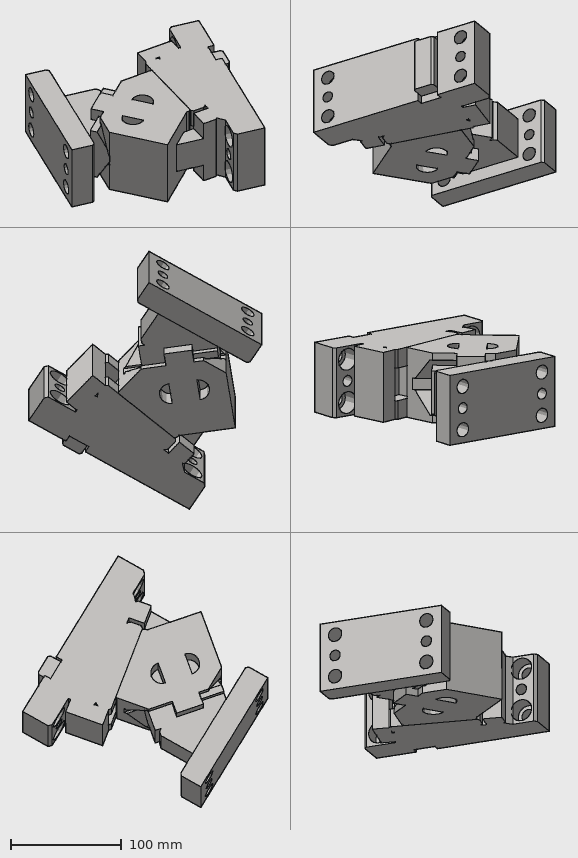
import cadquery as cq
import math


RAMP_ANGLE = 40.0
GUIDE_ANGLE = 10.0


def at_x(distance):
    return (0.0, distance)


def at_y(distance):
    return (90.0, distance)


def ramp_along(distance):
    """Edge across the ramp, at a distance measured down the ramp."""
    return (-RAMP_ANGLE, distance)


def ramp_height(distance):
    """Edge parallel to the ramp, at a distance measured square to it."""
    return (90.0 - RAMP_ANGLE, distance)


def guide_along(distance):
    """Edge across the guide, at a distance measured up the guide."""
    return (GUIDE_ANGLE, distance)


def guide_height(distance):
    """Edge parallel to the guide, at a distance measured square to it."""
    return (GUIDE_ANGLE + 90.0, distance)


def meet(edge_a, edge_b):
    """XY point where two straight edges cross."""
    angle_a, dist_a = math.radians(edge_a[0]), edge_a[1]
    angle_b, dist_b = math.radians(edge_b[0]), edge_b[1]
    turn = math.sin(angle_b - angle_a)
    x = (dist_a * math.sin(angle_b) - dist_b * math.sin(angle_a)) / turn
    y = (dist_b * math.cos(angle_a) - dist_a * math.cos(angle_b)) / turn
    return (x, y)


def slab(points, half_width):
    """XY outline extruded equally to both sides of Z = 0."""
    return cq.Workplane("XY").polyline(points).close().extrude(half_width, both=True)


def ramp_prism(half_profile, start, end):
    """Symmetric (z, ramp height) profile swept down the ramp from start to end."""
    down_ramp = meet(ramp_along(1.0), ramp_height(0.0))
    plane = cq.Plane(
        origin=meet(ramp_along(start), ramp_height(0.0)),
        xDir=(0, 0, -1),
        normal=(*down_ramp, 0),
    )
    mirrored = [(-z, height) for z, height in reversed(half_profile)]
    return cq.Workplane(plane).polyline(half_profile + mirrored).close().extrude(end - start)


def holes_along_y(diameter, xs, zs, y_start, depth):
    """Round cutters that run towards +Y from y_start."""
    plane = cq.Plane(origin=(0, y_start, 0), xDir=(1, 0, 0), normal=(0, 1, 0))
    points = [(x, z) for x in xs for z in zs]
    return cq.Workplane(plane).pushPoints(points).circle(diameter / 2).extrude(depth)


HALF_WIDTH = 65.0 / 2
BOLT_DIAMETER = 13.0
DOWEL_DIAMETER = 10.0
BOLT_Z = 20.0
BOLT_ROWS = (-BOLT_Z, BOLT_Z)

ROOF_ANGLE = 30.0
HEAD_HALF = 25.7
HEAD_SHOULDER = 99.5
HEAD_BOTTOM = 92.9


def roof(z):
    """Ramp height of the sloped roof at a distance z from the middle."""
    return HEAD_SHOULDER + (HEAD_HALF - z) * math.tan(math.radians(ROOF_ANGLE))


GUIDE_FACE = 98.0
CHANNEL_HALF = 15.1
CHANNEL_CEILING = 113.0
CHANNEL_START = 59.0

SLIDER_TOP = 168.6

HOOK_START = 18.2
HOOK_END = 43.8

DRIVER_LEFT = 20.3
DRIVER_LENGTH = 119.4
DRIVER_PLATE = 22.3
DRIVER_CHAMFER = 2.2
DRIVER_BOLT_INSET = 14.8
STEM_HALF = 19.9
STEM_BOTTOM = 80.5
RIDGE_HALF = 4.2
STEM_START = -4.2
HEAD_START = 18.6
DRIVER_END = 66.0
NECK_LEFT = 46.9
NECK_TOP = 60.4
NECK_CHAMFER = 3.0
UNDERCUT_START = 1.5


def make_driver_plate():
    right = DRIVER_LEFT + DRIVER_LENGTH
    plate = slab(
        [
            (DRIVER_LEFT, 0),
            (right, 0),
            (right, DRIVER_PLATE - DRIVER_CHAMFER),
            (right - DRIVER_CHAMFER, DRIVER_PLATE),
            (DRIVER_LEFT + DRIVER_CHAMFER, DRIVER_PLATE),
            (DRIVER_LEFT, DRIVER_PLATE - DRIVER_CHAMFER),
        ],
        HALF_WIDTH,
    )
    columns = (DRIVER_LEFT + DRIVER_BOLT_INSET, right - DRIVER_BOLT_INSET)
    plate = plate.cut(holes_along_y(BOLT_DIAMETER, columns, BOLT_ROWS, 0, DRIVER_PLATE))
    return plate.cut(holes_along_y(DOWEL_DIAMETER, columns, (0,), 0, DRIVER_PLATE))


def make_driver():
    neck = slab(
        [
            (NECK_LEFT, DRIVER_PLATE),
            meet(ramp_along(DRIVER_END), at_y(DRIVER_PLATE)),
            meet(ramp_along(DRIVER_END), ramp_height(STEM_BOTTOM)),
            meet(ramp_along(UNDERCUT_START), ramp_height(STEM_BOTTOM)),
            (NECK_LEFT + NECK_CHAMFER, NECK_TOP),
            (NECK_LEFT, NECK_TOP - NECK_CHAMFER),
        ],
        STEM_HALF,
    )
    ridge = (RIDGE_HALF, roof(RIDGE_HALF))
    stem = ramp_prism(
        [(STEM_HALF, STEM_BOTTOM), (STEM_HALF, roof(STEM_HALF)), ridge],
        STEM_START,
        DRIVER_END,
    )
    head = ramp_prism(
        [(HEAD_HALF, HEAD_BOTTOM), (HEAD_HALF, HEAD_SHOULDER), ridge],
        HEAD_START,
        DRIVER_END,
    )
    return make_driver_plate().union(neck).union(stem).union(head)


SLIDER_LEFT = 72.0
SLIDER_RIGHT = 141.6
RIGHT_CHAMFER = 1.8
LEFT_CHAMFER = 1.1
SLIDER_TIP = 71.0
SLIDER_BOTTOM = 97.6
SLIDER_FLAT_Y = 40.9
HOOK_BOTTOM = 85.8
HOOK_TOP = 92.7
HOOK_HALF_GAP = 20.5
RELIEF_HALF = 5.3
RELIEF_TOP = 113.2
TONGUE_START = 78.8
POCKET_RADIUS = 9.9
POCKET_HEIGHT = 126.0
POCKET_DEPTH = 20.0


def make_slider_blank():
    return slab(
        [
            meet(guide_along(SLIDER_LEFT), guide_height(GUIDE_FACE - LEFT_CHAMFER)),
            meet(guide_along(SLIDER_LEFT + LEFT_CHAMFER), guide_height(GUIDE_FACE)),
            meet(guide_along(SLIDER_RIGHT - RIGHT_CHAMFER), guide_height(GUIDE_FACE)),
            meet(guide_along(SLIDER_RIGHT), guide_height(GUIDE_FACE - RIGHT_CHAMFER)),
            meet(guide_along(SLIDER_RIGHT), ramp_height(SLIDER_TOP)),
            meet(ramp_along(SLIDER_TIP), ramp_height(SLIDER_TOP)),
            meet(ramp_along(SLIDER_TIP), at_y(SLIDER_FLAT_Y)),
            meet(ramp_height(SLIDER_BOTTOM), at_y(SLIDER_FLAT_Y)),
            meet(ramp_along(HOOK_END), ramp_height(SLIDER_BOTTOM)),
            meet(ramp_along(HOOK_END), ramp_height(HOOK_BOTTOM)),
            meet(ramp_along(HOOK_START), ramp_height(HOOK_BOTTOM)),
            meet(ramp_along(HOOK_START), ramp_height(SLIDER_BOTTOM)),
            meet(guide_along(SLIDER_LEFT), ramp_height(SLIDER_BOTTOM)),
        ],
        HALF_WIDTH,
    )


def make_tongue():
    return slab(
        [
            meet(guide_along(TONGUE_START), guide_height(GUIDE_FACE)),
            meet(guide_along(TONGUE_START), guide_height(CHANNEL_CEILING)),
            meet(guide_along(SLIDER_RIGHT - RIGHT_CHAMFER), guide_height(CHANNEL_CEILING)),
            meet(guide_along(SLIDER_RIGHT - RIGHT_CHAMFER), guide_height(GUIDE_FACE)),
        ],
        CHANNEL_HALF,
    )


def make_driver_groove():
    return ramp_prism(
        [
            (HOOK_HALF_GAP, HOOK_BOTTOM),
            (HOOK_HALF_GAP, HOOK_TOP),
            (HEAD_HALF, HOOK_TOP),
            (HEAD_HALF, HEAD_SHOULDER),
            (RELIEF_HALF, roof(RELIEF_HALF)),
            (RELIEF_HALF, RELIEF_TOP),
        ],
        -SLIDER_TIP,
        SLIDER_TIP,
    )


def make_half_round_pocket(flat, side):
    """Half-round cutter whose flat lies across the ramp and whose arc bulges by side (-1 or 1)."""
    low = meet(ramp_along(flat), ramp_height(POCKET_HEIGHT - POCKET_RADIUS))
    crown = meet(ramp_along(flat + side * POCKET_RADIUS), ramp_height(POCKET_HEIGHT))
    high = meet(ramp_along(flat), ramp_height(POCKET_HEIGHT + POCKET_RADIUS))
    top_face = cq.Workplane("XY", origin=(0, 0, HALF_WIDTH))
    cutter = top_face.moveTo(*low).threePointArc(crown, high).close().extrude(-POCKET_DEPTH)
    return cutter.union(cutter.mirror("XY"))


def make_slider():
    slider = make_slider_blank().union(make_tongue()).cut(make_driver_groove())
    for flat, side in ((HOOK_START, -1), (HOOK_END, 1)):
        slider = slider.cut(make_half_round_pocket(flat, side))
    return slider


HOLDER_LENGTH = 170.0
PLATE_FRONT = 145.3
PLATE_BACK = 174.7
PLATE_CHAMFER = 2.7
HOLDER_BOLT_INSET = 15.0
COUNTERBORE_DIAMETER = 20.0
COUNTERBORE_DEPTH = 16.5

KEY_LEFT = 39.5
KEY_WIDTH = 20.5
KEY_SEAT = 168.6
KEY_TOP = 182.5
KEY_HALF = 25.0
KEY_CHAMFER = 1.8

BLOCK_LEFT = 43.6
BLOCK_BOTTOM = 99.8
BLOCK_TOP = 135.5
LIP_END = 31.5
RAIL_END = 143.5
RAIL_CHAMFER = 2.0
RELIEF_SIZE = 2.7
RELIEF_REACH = 2.2
RELIEF_RISE = 1.0
STOP_LEFT = 146.5
STOP_RIGHT = 164.5
STOP_SIDE = 144.5
STOP_NECK = (140.7, 138.9)
STOP_SHOULDER_Y = 137.8
STOP_PLATE_X = 147.0


def make_holder_blank():
    return slab(
        [
            (0, PLATE_BACK),
            (0, PLATE_FRONT + PLATE_CHAMFER),
            (PLATE_CHAMFER, PLATE_FRONT),
            (LIP_END, PLATE_FRONT),
            meet(at_x(LIP_END), guide_height(BLOCK_TOP)),
            meet(guide_along(BLOCK_LEFT), guide_height(BLOCK_TOP)),
            meet(guide_along(BLOCK_LEFT), guide_height(BLOCK_BOTTOM)),
            meet(guide_along(CHANNEL_START), guide_height(BLOCK_BOTTOM)),
            meet(guide_along(CHANNEL_START + RAIL_CHAMFER), guide_height(GUIDE_FACE)),
            meet(guide_along(RAIL_END - RAIL_CHAMFER), guide_height(GUIDE_FACE)),
            meet(guide_along(RAIL_END), guide_height(GUIDE_FACE + RAIL_CHAMFER)),
            meet(guide_along(RAIL_END), guide_height(CHANNEL_CEILING - RELIEF_SIZE)),
            meet(guide_along(RAIL_END - RELIEF_REACH), guide_height(CHANNEL_CEILING)),
            meet(guide_along(STOP_LEFT), guide_height(CHANNEL_CEILING)),
            meet(guide_along(STOP_LEFT), guide_height(GUIDE_FACE)),
            meet(at_x(STOP_SIDE), guide_height(GUIDE_FACE)),
            meet(at_x(STOP_SIDE), guide_along(STOP_RIGHT)),
            meet(guide_along(STOP_RIGHT), at_y(STOP_SHOULDER_Y)),
            STOP_NECK,
            (STOP_PLATE_X, PLATE_FRONT),
            (HOLDER_LENGTH - PLATE_CHAMFER, PLATE_FRONT),
            (HOLDER_LENGTH, PLATE_FRONT + PLATE_CHAMFER),
            (HOLDER_LENGTH, PLATE_BACK),
        ],
        HALF_WIDTH,
    )


def make_stop_finger():
    """Narrow end of the stop, which rests on the slider's upper end face."""
    return slab(
        [
            meet(guide_along(STOP_LEFT), guide_height(GUIDE_FACE)),
            meet(guide_along(STOP_LEFT), ramp_height(SLIDER_TOP)),
            meet(at_x(STOP_SIDE), ramp_height(SLIDER_TOP)),
            meet(at_x(STOP_SIDE), guide_height(GUIDE_FACE)),
        ],
        CHANNEL_HALF,
    )


def make_channel():
    return slab(
        [
            meet(guide_along(CHANNEL_START), guide_height(GUIDE_FACE)),
            meet(guide_along(CHANNEL_START), guide_height(CHANNEL_CEILING)),
            meet(guide_along(RAIL_END), guide_height(CHANNEL_CEILING)),
            meet(guide_along(RAIL_END), guide_height(GUIDE_FACE)),
        ],
        CHANNEL_HALF,
    )


def make_corner_relief():
    """Three-sided opening through the holder at the closed end of the channel."""
    return slab(
        [
            meet(guide_along(CHANNEL_START), guide_height(CHANNEL_CEILING - RELIEF_SIZE)),
            meet(guide_along(CHANNEL_START), guide_height(CHANNEL_CEILING + RELIEF_RISE)),
            meet(guide_along(CHANNEL_START + RELIEF_REACH), guide_height(CHANNEL_CEILING)),
        ],
        HALF_WIDTH,
    )


def make_key_seat():
    key_right = KEY_LEFT + KEY_WIDTH
    return slab(
        [(KEY_LEFT, KEY_SEAT), (key_right, KEY_SEAT), (key_right, PLATE_BACK), (KEY_LEFT, PLATE_BACK)],
        HALF_WIDTH,
    )


def make_key():
    key_right = KEY_LEFT + KEY_WIDTH
    return slab(
        [
            (KEY_LEFT, KEY_SEAT),
            (key_right, KEY_SEAT),
            (key_right, KEY_TOP - KEY_CHAMFER),
            (key_right - KEY_CHAMFER, KEY_TOP),
            (KEY_LEFT + KEY_CHAMFER, KEY_TOP),
            (KEY_LEFT, KEY_TOP - KEY_CHAMFER),
        ],
        KEY_HALF,
    )


def make_holder():
    thickness = PLATE_BACK - PLATE_FRONT
    columns = (HOLDER_BOLT_INSET, HOLDER_LENGTH - HOLDER_BOLT_INSET)
    cutters = [
        make_channel(),
        make_corner_relief(),
        make_key_seat(),
        holes_along_y(BOLT_DIAMETER, columns, BOLT_ROWS, PLATE_FRONT, thickness),
        holes_along_y(COUNTERBORE_DIAMETER, columns, BOLT_ROWS, PLATE_FRONT, COUNTERBORE_DEPTH),
        holes_along_y(DOWEL_DIAMETER, columns, (0,), PLATE_FRONT, thickness),
    ]
    holder = make_holder_blank().union(make_stop_finger())
    for cutter in cutters:
        holder = holder.cut(cutter)
    return holder.union(make_key())


driver = make_driver()
slider = make_slider()
holder = make_holder()

result = cq.Compound.makeCompound([body.solids().val() for body in (driver, slider, holder)])